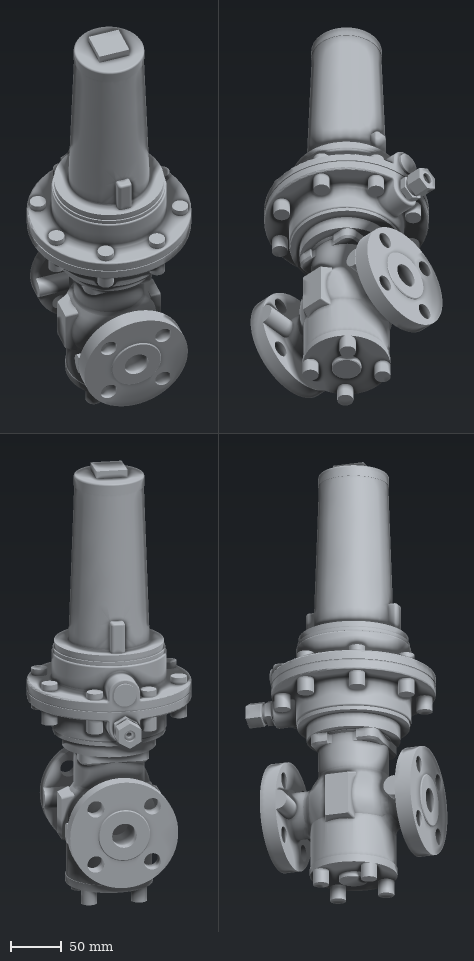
import cadquery as cq
import math

cover_bottom = 14.5
cover_top = 22.0
port_z = 84.0
plate_bottom = 155.0
plate_top = 169.0
case_joint_z = 212.0
case_top = 262.0
cap_bottom = 420.5
cap_top = 432.0
overall_height = 440.0

barrel_radius = 42.2
cover_radius = 43.0
globe_radius = 46.0
neck_radius = 34.8
neck_globe_fillet = 6.5
collar_radius = 37.0
collar_height = 2.0
collar_chamfer = 1.8
plate_radius = 46.0
pad_width = 24.0
pad_height = 42.5
pad_reach = 49.5
pad_depth = 12.0
pad_flare = 4.0
pad_fillet = 1.8

head_side = 70.5
head_corner_radius = 10.5
head_bottom = 144.0
head_chamfer = 2.0
head_notch_width = 31.0
head_notch_depth = 2.0

cover_bolt_radius = 8.0
cover_bolt_offset = 25.0
drain_radius = 14.5
drain_bottom = 9.0
drain_chamfer = 1.0

face_to_face = 159.5
raised_face_radius = 26.0
raised_face_height = 1.5
raised_face_chamfer = 1.0
flange_radius = 54.0
flange_thickness = 16.5
pipe_radius = 23.5
pipe_fillet = 4.0
pipe_root_fillet = 8.0
bore_radius = 12.5
bore_depth = 44.0
flange_hole_radius = 8.5
flange_hole_circle = 40.0
side_boss_radius = 10.0
side_boss_x = 60.5
side_boss_reach = 54.0

case_radius = 56.8
case_step_radius = 55.5
case_lid_radius = 54.0
case_step_height = 4.0
case_step_top = 255.0
rim_radius = 81.0
rim_half_thickness = 10.0
rim_fillet = 1.8
rim_groove_depth = 1.0
rim_groove_half_height = 0.65
case_fillet = 3.5
rim_bolt_count = 8
rim_bolt_circle = 70.0
rim_bolt_radius = 8.0
rim_bolt_bottom = 187.5
rim_bolt_top = 229.0

tower_base_radius = 40.0
tower_top_radius = 34.5
tower_fillet = 2.0
cap_radius = 34.8
cap_fillet = 2.0
square_side = 31.2
rib_reach = 48.0
rib_width = 14.5
rib_top = 292.5
rib_fillet = 3.5
rib_top_fillet = 2.5

port_boss_radius = 16.0
port_boss_offset = 17.0
port_boss_fillet = 1.8

plug_radius = 11.5
plug_height = 2.5
fitting_across_flats = 22.5
fitting_end = -108.5
nut_length = 16.5
adapter_outer = -89.0
adapter_inner = -82.5
hex_chamfer = 1.0
fitting_throat_radius = 9.5
tube_radius = 5.5
tube_depth = 4.5
tube_bore_radius = 2.5
tube_bore_depth = 13.0


def disc(radius, bottom, top):
    """Upright cylinder on the main axis."""
    return cq.Workplane("XY", origin=(0, 0, bottom)).circle(radius).extrude(top - bottom)


def upright_pins(points, radius, bottom, top):
    """Equal upright cylinders standing at the given points."""
    return cq.Workplane("XY", origin=(0, 0, bottom)).pushPoints(points).circle(radius).extrude(top - bottom)


def rod_along_x(radius, start, end, z):
    """Cylinder lying along X at the given height."""
    return cq.Workplane("YZ", origin=(start, 0, z)).circle(radius).extrude(end - start)


def box_selector(center, half_size):
    """Selects what lies wholly inside a box given by its centre and half sizes."""
    low = tuple(c - h for c, h in zip(center, half_size))
    high = tuple(c + h for c, h in zip(center, half_size))
    return cq.selectors.BoxSelector(low, high, boundingbox=True)


def square_points(offset):
    """Four points on the diagonals of the part."""
    return [(sx * offset, sy * offset) for sx in (-1, 1) for sy in (-1, 1)]


def mirrored_x(shape):
    """A shape together with its mirror image across the YZ plane."""
    return shape.union(shape.mirror("YZ"))


def make_barrel():
    globe_top = port_z + math.sqrt(globe_radius**2 - neck_radius**2)
    globe_bottom = port_z - math.sqrt(globe_radius**2 - barrel_radius**2)
    barrel = (
        cq.Workplane("XZ")
        .moveTo(0, cover_bottom)
        .lineTo(cover_radius, cover_bottom)
        .lineTo(cover_radius, cover_top)
        .lineTo(barrel_radius, cover_top)
        .lineTo(barrel_radius, globe_bottom)
        .threePointArc((globe_radius, port_z), (neck_radius, globe_top))
        .lineTo(neck_radius, plate_bottom)
        .lineTo(0, plate_bottom)
        .close()
        .revolve(360, (0, 0, 0), (0, 1, 0))
    )
    at_globe_top = box_selector((0, 0, globe_top), (globe_radius, globe_radius, 0.5))
    barrel = barrel.edges(at_globe_top).fillet(neck_globe_fillet)
    return barrel


def make_neck_head():
    """Rounded square head with notched front and back, a flared collar and the connecting plate."""
    height = plate_bottom - head_bottom
    head = cq.Workplane("XY", origin=(0, 0, head_bottom)).rect(head_side, head_side).extrude(height)
    head = head.edges("|Z").fillet(head_corner_radius).faces("<Z").edges().chamfer(head_chamfer)
    notches = (
        cq.Workplane("XY", origin=(0, 0, head_bottom))
        .pushPoints([(0, -head_side / 2), (0, head_side / 2)])
        .rect(head_notch_width, 2 * head_notch_depth)
        .extrude(height)
    )
    collar = disc(collar_radius, plate_bottom - collar_height, plate_bottom)
    collar = collar.faces("<Z").chamfer(collar_chamfer)
    plate = disc(plate_radius, plate_bottom, plate_top)
    return head.cut(notches).union(collar).union(plate)


def make_pads():
    """Flared rectangular pads on the front and back of the globe."""
    pad = (
        cq.Workplane("XZ", origin=(0, -pad_reach, port_z))
        .rect(pad_width, pad_height)
        .workplane(offset=-pad_depth)
        .rect(pad_width + 2 * pad_flare, pad_height + 2 * pad_flare)
        .loft()
    )
    pad = pad.edges("not (|X or |Z)").fillet(pad_fillet)
    return pad.union(pad.mirror("XZ"))


def make_pipe_ends():
    """One flanged pipe stub with its bolt holes and side bosses, mirrored to both sides."""
    flange_face = face_to_face / 2 - raised_face_height
    flange_back = flange_face - flange_thickness
    pipe = rod_along_x(pipe_radius, 0, flange_back, port_z)
    side_boss = (
        cq.Workplane("XZ", origin=(side_boss_x, side_boss_reach, port_z))
        .circle(side_boss_radius)
        .extrude(2 * side_boss_reach)
    )
    flange = rod_along_x(flange_radius, flange_back, flange_face, port_z)
    side_boss = side_boss.cut(rod_along_x(2 * flange_radius, flange_back, face_to_face, port_z))
    end = pipe.union(flange)
    at_flange_back = box_selector((flange_back, 0, port_z), (0.5, pipe_radius + 0.5, pipe_radius + 0.5))
    end = end.edges(at_flange_back).fillet(pipe_fillet)
    end = end.union(side_boss)
    raised_face = rod_along_x(raised_face_radius, flange_face, face_to_face / 2, port_z)
    end = end.union(raised_face.faces(">X").chamfer(raised_face_chamfer))
    holes = (
        cq.Workplane("YZ", origin=(flange_back, 0, port_z))
        .polarArray(flange_hole_circle, 45, 360, 4)
        .circle(flange_hole_radius)
        .extrude(flange_thickness)
    )
    return mirrored_x(end.cut(holes))


def make_valve_body():
    """Barrel and pipe ends with blended pipe roots."""
    body = make_barrel().union(make_pipe_ends())
    root_size = pipe_radius + 1.0
    for side in (-1, 1):
        pipe_root = box_selector((side * globe_radius * 0.85, 0, port_z), (7.0, root_size, root_size))
        body = body.edges(pipe_root).fillet(pipe_root_fillet)
    return body


def make_pipe_bores():
    half = face_to_face / 2
    return mirrored_x(rod_along_x(bore_radius, half - bore_depth, half, port_z))


def make_valve_screws():
    bottom_screws = upright_pins(square_points(cover_bolt_offset), cover_bolt_radius, 0, cover_bottom)
    drain = disc(drain_radius, drain_bottom, cover_bottom).faces("<Z").chamfer(drain_chamfer)
    return bottom_screws.union(drain)


def make_port_bosses():
    """Slot-shaped bar across the rim whose round ends stand above and below it."""
    width = 2 * port_boss_radius
    bar = cq.Workplane("YZ", origin=(-2 * rim_radius, 0, case_joint_z))
    bar = bar.slot2D(2 * port_boss_offset + width, width, 90).extrude(2 * rim_radius)
    return bar.intersect(disc(rim_radius, plate_top, case_top))


def make_case():
    wall_bottom = plate_top + case_step_height
    wall_top = case_step_top - case_step_height
    rim_bottom = case_joint_z - rim_half_thickness
    rim_top = case_joint_z + rim_half_thickness
    case = disc(case_radius, wall_bottom, wall_top).union(disc(rim_radius, rim_bottom, rim_top))
    root_size = case_radius + 0.5
    for level in (rim_bottom, rim_top):
        case = case.edges(box_selector((0, 0, level), (root_size, root_size, 0.5))).fillet(case_fillet)
    case = case.union(make_port_bosses())

    def on_outer_face(edge):
        middle = edge.positionAt(0.5)
        return math.hypot(middle.x, middle.y) > rim_radius - 0.5

    def is_boss_root(edge):
        """Edge where a boss meets the wall or the rim, but not a tangent line of its round nose."""
        middle = edge.positionAt(0.5)
        on_boss = middle.x < -0.9 * case_radius and abs(middle.y) < port_boss_radius + 0.5
        height = abs(middle.z - case_joint_z)
        is_tangent_line = edge.geomType() == "LINE" and abs(height - port_boss_offset) < 0.5
        return on_boss and not is_tangent_line and not on_outer_face(edge)

    def is_outline(edge):
        """Edge around the outer face that the rim shares with the boss ends, but not its seam."""
        box = edge.BoundingBox()
        return on_outer_face(edge) and box.zmax - box.zmin < 2 * rim_half_thickness - 0.5

    boss_roots = [edge for edge in case.edges().vals() if is_boss_root(edge)]
    case = case.newObject(boss_roots).fillet(port_boss_fillet)
    outline = [edge for edge in case.edges().vals() if is_outline(edge)]
    case = case.newObject(outline).fillet(rim_fillet)

    case = case.union(disc(case_step_radius, plate_top, wall_bottom))
    case = case.union(disc(case_step_radius, wall_top, case_step_top))
    return case.union(disc(case_lid_radius, case_step_top, case_top))


def make_rim_groove():
    return (
        cq.Workplane("XY", origin=(0, 0, case_joint_z - rim_groove_half_height))
        .circle(rim_radius + 4.5)
        .circle(rim_radius - rim_groove_depth)
        .extrude(2 * rim_groove_half_height)
    )


def make_rim_bolts():
    step = 2 * math.pi / rim_bolt_count
    points = [
        (rim_bolt_circle * math.cos((i + 0.5) * step), rim_bolt_circle * math.sin((i + 0.5) * step))
        for i in range(rim_bolt_count)
    ]
    return upright_pins(points, rim_bolt_radius, rim_bolt_bottom, rim_bolt_top)


def make_tower():
    tower = (
        cq.Workplane("XZ")
        .moveTo(0, case_top)
        .lineTo(tower_base_radius + tower_fillet, case_top)
        .radiusArc((tower_base_radius, case_top + tower_fillet), tower_fillet)
        .lineTo(tower_top_radius, cap_bottom)
        .lineTo(0, cap_bottom)
        .close()
        .revolve(360, (0, 0, 0), (0, 1, 0))
    )
    cap = disc(cap_radius, cap_bottom, cap_top).faces(">Z").edges().fillet(cap_fillet)
    square = cq.Workplane("XY", origin=(0, 0, cap_top)).rect(square_side, square_side)
    return tower.union(cap).union(square.extrude(overall_height - cap_top))


def make_ribs():
    height = rib_top - case_top
    ribs = cq.Workplane("XY", origin=(0, 0, case_top)).rect(2 * rib_reach, rib_width).extrude(height)
    return ribs.edges("|Z").fillet(rib_fillet).faces(">Z").edges().fillet(rib_top_fillet)


def make_regulator():
    body = make_valve_body().union(make_pads()).union(make_neck_head()).union(make_valve_screws())
    body = body.union(make_case()).union(make_rim_bolts())
    body = body.union(make_tower()).union(make_ribs())
    return body.cut(make_pipe_bores()).cut(make_rim_groove())


def make_vent_plug():
    return rod_along_x(plug_radius, -rim_radius - plug_height, -rim_radius, case_joint_z + port_boss_offset)


def make_fitting():
    z = case_joint_z - port_boss_offset
    across_corners = fitting_across_flats / math.cos(math.pi / 6)

    def hexagon(start, end):
        prism = cq.Workplane("YZ", origin=(start, 0, z)).polygon(6, across_corners).extrude(end - start)
        return prism.rotate((0, 0, z), (1, 0, z), 30)

    nut = hexagon(fitting_end, fitting_end + nut_length).faces(">X").edges().chamfer(hex_chamfer)
    adapter = hexagon(adapter_outer, adapter_inner)
    throat = rod_along_x(fitting_throat_radius, fitting_end + nut_length, -rim_radius, z)
    fitting = nut.union(throat).union(adapter)
    fitting = fitting.cut(rod_along_x(tube_radius, fitting_end, fitting_end + tube_depth, z))
    return fitting.cut(rod_along_x(tube_bore_radius, fitting_end, fitting_end + tube_bore_depth, z))


regulator = make_regulator()
vent_plug = make_vent_plug()
fitting = make_fitting()

result = cq.Compound.makeCompound([regulator.val(), vent_plug.val(), fitting.val()])